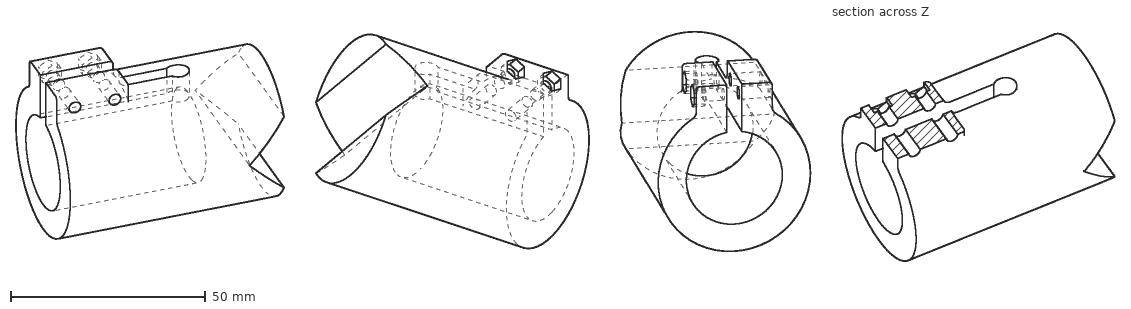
import cadquery as cq
import math

body_radius = 20.0
body_length = 60.0
front_y = 0.0
back_y = front_y + body_length

bore_radius = 12.6
bore_depth = 40.0

notch_depth = 10.7

block_width = 20.0
block_length = 20.0
block_top_z = 25.32
block_edge_radius = 1.0
block_root_radius = 2.0

slit_width = 4.0
relief_radius = 3.0
relief_y = front_y + bore_depth - relief_radius

screw_diameter = 3.2
screw_z = block_top_z - 4.0
screw_positions_y = (front_y + 5.0, front_y + 16.0)
nut_across_corners = 6.0
nut_pocket_depth = 3.0


def cylinder_along_y(radius, length):
    """Cylinder on the Y axis, running back from the front face."""
    return cq.Workplane("XZ", origin=(0, front_y, 0)).circle(radius).extrude(-length)


def make_clamp_block():
    """Block from the body axis to the clamp top, rounded on its sides, back and top."""
    block = cq.Workplane("XY").box(
        block_width, block_length, block_top_z, centered=(True, False, False)
    ).translate((0, front_y, 0))
    block = block.edges("|Z and >Y").fillet(block_edge_radius)
    return block.faces(">Z").edges("not <Y").fillet(block_edge_radius)


def is_root_edge(edge):
    """True for the edges where the clamp block meets the round body."""
    box = edge.BoundingBox()
    lowest_root_z = math.sqrt(body_radius ** 2 - (block_width / 2) ** 2)
    tolerance = 0.01
    above_body_side = box.zmin > lowest_root_z - tolerance
    below_body_crown = box.zmax < body_radius + tolerance
    on_block = box.ymin > front_y - tolerance and box.ymax < front_y + block_length + tolerance
    lies_in_front_face = box.ymax < front_y + tolerance
    return above_body_side and below_body_crown and on_block and not lies_in_front_face


def make_outer_shape():
    """Round body and clamp block joined with a root fillet."""
    outer = cylinder_along_y(body_radius, body_length).union(make_clamp_block())
    root_edges = [edge for edge in outer.edges().vals() if is_root_edge(edge)]
    return outer.newObject(root_edges).fillet(block_root_radius)


def make_notch():
    """Right-angled V across the back end, with its apex on the body axis."""
    return (
        cq.Workplane("YZ")
        .moveTo(back_y - notch_depth, 0)
        .lineTo(back_y, notch_depth)
        .lineTo(back_y, -notch_depth)
        .close()
        .extrude(body_radius, both=True)
    )


def make_slit():
    """Slit from the front face to the relief hole, open from the bore upward."""
    slit = cq.Workplane("XY").box(
        slit_width, relief_y - front_y, block_top_z, centered=(True, False, False)
    ).translate((0, front_y, 0))
    relief = cq.Workplane("XY").center(0, relief_y).circle(relief_radius).extrude(block_top_z)
    return slit.union(relief)


def make_screw_hole(y):
    """Screw hole through both clamp jaws, with a nut pocket in the -X face."""
    side_plane = cq.Workplane("YZ", origin=(-block_width / 2, y, screw_z))
    hole = side_plane.circle(screw_diameter / 2).extrude(block_width)
    nut_pocket = (
        side_plane.transformed(rotate=(0, 0, 90))
        .polygon(6, nut_across_corners)
        .extrude(nut_pocket_depth)
    )
    return hole.union(nut_pocket)


result = make_outer_shape()
result = result.cut(cylinder_along_y(bore_radius, bore_depth))
result = result.cut(make_notch())
result = result.cut(make_slit())
for screw_y in screw_positions_y:
    result = result.cut(make_screw_hole(screw_y))